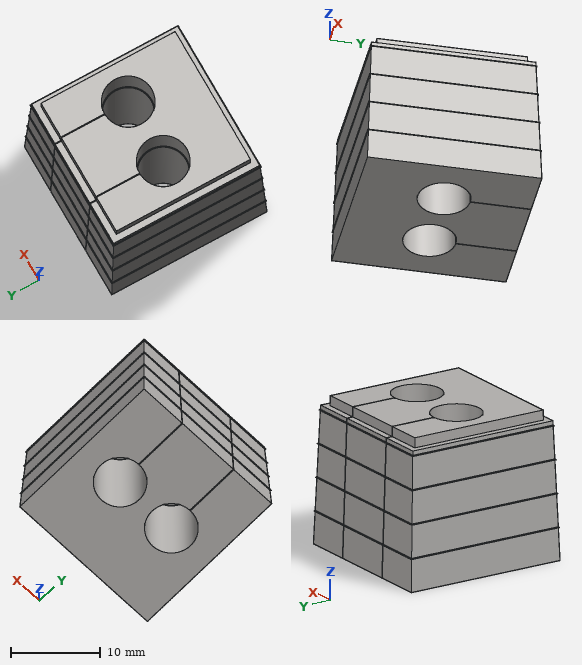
import cadquery as cq
import math

base_width = 19.93
body_height = 16.5
taper_angle = 2.0

pad_width = 17.2
total_height = 17.7
pad_height = total_height - body_height

rib_pitch = 4.0
rib_count = 4
rib_height = 0.1
rib_projection = 0.1

hole_diameter = 6.0
hole_spacing = 8.0
slit_width = 0.1

lip_height = 0.1
lip_projection = 0.1
lip_top_depth = 3.9


def body_width_at(z):
    """Side length of the tapered block at height z."""
    return base_width - 2 * z * math.tan(math.radians(taper_angle))


def square_frustum(z, height, bottom_width, top_width):
    """Square block standing at height z, narrowing from bottom to top."""
    return (
        cq.Workplane("XY")
        .workplane(offset=z)
        .rect(bottom_width, bottom_width)
        .workplane(offset=height)
        .rect(top_width, top_width)
        .loft(ruled=True)
    )


def make_body():
    return square_frustum(0, body_height, base_width, body_width_at(body_height))


def make_pad():
    return square_frustum(body_height, pad_height, pad_width, pad_width)


def make_rib(top_z):
    """Square rib whose top edge meets the tapered sides at height top_z."""
    bottom_z = top_z - rib_height
    bottom_width = body_width_at(bottom_z) + 2 * rib_projection
    return square_frustum(bottom_z, rib_height, bottom_width, body_width_at(top_z))


def make_hole(x):
    """Cutter for a through hole that leaves a lip standing inside it."""
    hole_radius = hole_diameter / 2
    lip_radius = hole_radius - lip_projection
    lip_top = total_height - lip_top_depth
    lip_bottom = lip_top - lip_height
    return (
        cq.Workplane("XZ")
        .moveTo(0, 0)
        .lineTo(hole_radius, 0)
        .lineTo(hole_radius, lip_bottom)
        .lineTo(lip_radius, lip_bottom)
        .lineTo(hole_radius, lip_top)
        .lineTo(hole_radius, total_height)
        .lineTo(0, total_height)
        .close()
        .revolve(360, (0, 0, 0), (0, 1, 0))
        .translate((x, 0, 0))
    )


def make_slit(x):
    """Narrow full-height cutter from the hole axis out through the +Y side."""
    slit = cq.Workplane("XY").box(slit_width, base_width, total_height, centered=(True, False, False))
    return slit.translate((x, 0, 0))


result = make_body().union(make_pad())
for level in range(1, rib_count + 1):
    result = result.union(make_rib(level * rib_pitch))
for hole_x in (-hole_spacing / 2, hole_spacing / 2):
    result = result.cut(make_hole(hole_x)).cut(make_slit(hole_x))